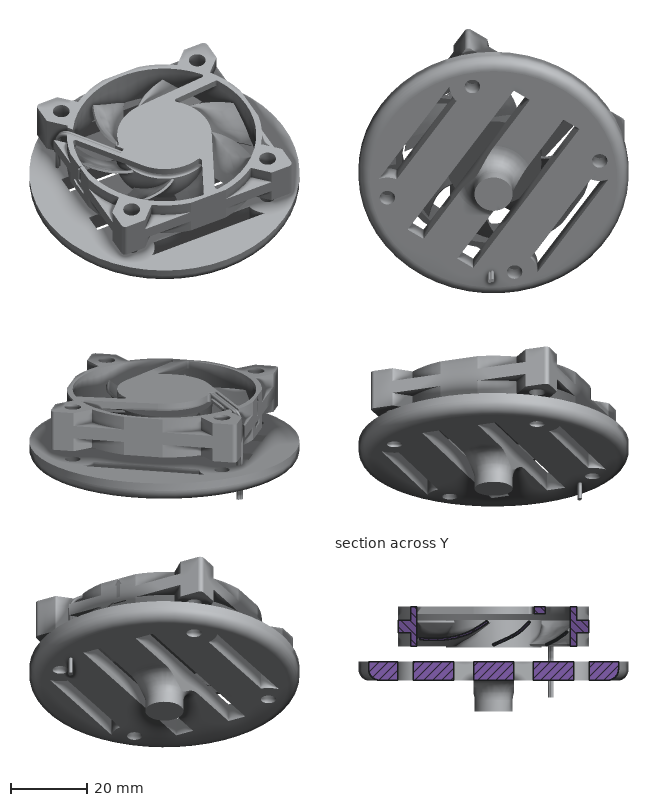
import cadquery as cq
import math


plate_diameter = 70.7
plate_thickness = 5.0
plate_rim_fillet = 3.0
peg_diameter = 10.0
peg_length = 8.0
peg_fillet = 5.0
plate_hole_diameter = 4.0
middle_rib_half_width = 5.3
inner_slot_outer_x = 10.3
outer_slot_inner_x = 21.1
hole_boss_radius = 6.0

frame_side = 50.0
frame_height = 10.5
frame_gap = 3.9
frame_corner_fillet = 1.1
frame_hole_diameter = 4.4
hole_pitch = 40.0
bore_diameter = 48.0
ring_outer_diameter = 51.05
corner_post_width = 9.0
flange_recess = 3.55
hub_diameter = 24.75
strut_thickness = 2.0
strut_width = 3.0
strut_angle = -25.0
opening_fillet = 0.65
strut_count = 3
arrow_length = 5.65
arrow_head_length = 1.9
arrow_head_width = 2.05
arrow_shaft_width = 1.2
arrow_depth = 0.5
up_arrow_tail_drop = 5.5
side_arrow_tail_x = 2.3
side_arrow_drop = 7.6
wire_notch_width = 2.75

rotor_diameter = 25.0
rotor_drop = 0.2
rotor_top_clearance = 1.5
blade_count = 7
blade_tip_diameter = 46.95
blade_angle = 45.0
blade_root_diameter = 24.05
blade_lead_z = 10.75
blade_knee_z = 5.95
blade_trail_z = 4.5
blade_sag = 0.65
blade_shift = 0.4
blade_drop = 0.5

wire_diameter = 1.0
wire_spacing = 0.7
wire_centre_offset = 10.75
wire_start = 7.1
wire_drop_start = 25.8
wire_bend_radius = 3.75
wire_end_z = -9.4
groove_depth = 1.2
groove_fillet = 0.5

frame_top = frame_gap + frame_height
half_side = frame_side / 2
hub_radius = hub_diameter / 2
bore_radius = bore_diameter / 2
strut_inner_offset = hub_radius - strut_width
strut_step = 360 / strut_count
strut_angles = [strut_angle + i * strut_step for i in range(strut_count)]
wire_angle = strut_angles[2]
wire_z = frame_top - groove_depth + wire_diameter / 2


def cylinder(diameter, bottom, top):
    return cq.Workplane("XY").workplane(offset=bottom).circle(diameter / 2).extrude(top - bottom)


def block(x_min, x_max, y_min, y_max, bottom, top):
    size = (x_max - x_min, y_max - y_min, top - bottom)
    return cq.Workplane("XY").box(*size, centered=False).translate((x_min, y_min, bottom))


def corner_cylinders(diameter, bottom, top):
    points = cq.Workplane("XY").workplane(offset=bottom).rect(hole_pitch, hole_pitch, forConstruction=True)
    return points.vertices().circle(diameter / 2).extrude(top - bottom)


def polar(radius, angle):
    return (radius * math.cos(math.radians(angle)), radius * math.sin(math.radians(angle)))


def make_wire(side):
    """One of the twin leads along a strut, bending down; it lies flat against the lead on the other side."""
    radius = wire_diameter / 2
    half_seam = math.sqrt(radius**2 - (wire_spacing / 2) ** 2)
    bend_start = wire_drop_start - wire_bend_radius
    bend_mid = wire_bend_radius * math.sin(math.radians(45))
    bend_mid_drop = wire_bend_radius - bend_mid
    path = (
        cq.Workplane("XZ", origin=(0, wire_centre_offset, 0))
        .moveTo(wire_start, wire_z)
        .lineTo(bend_start, wire_z)
        .threePointArc(
            (bend_start + bend_mid, wire_z - bend_mid_drop),
            (wire_drop_start, wire_z - wire_bend_radius),
        )
        .lineTo(wire_drop_start, wire_end_z)
    )
    section = (
        cq.Workplane("YZ", origin=(wire_start, wire_centre_offset, wire_z))
        .moveTo(0, half_seam)
        .threePointArc((side * (wire_spacing / 2 + radius), 0), (0, -half_seam))
        .close()
    )
    return section.sweep(path).rotate((0, 0, 0), (0, 0, 1), wire_angle)


def make_slots():
    """Air slots along Y, kept inside the frame square and clear of the corner bosses."""
    slots = cq.Workplane("XY")
    bottom = -plate_thickness - peg_length
    slot_sizes = [
        (middle_rib_half_width, inner_slot_outer_x, half_side),
        (outer_slot_inner_x, half_side, hole_pitch / 2),
    ]
    for x_min, x_max, y_end in slot_sizes:
        slots = slots.union(block(x_min, x_max, -y_end, y_end, bottom, 0))
        slots = slots.union(block(-x_max, -x_min, -y_end, y_end, bottom, 0))
    return slots.cut(corner_cylinders(2 * hole_boss_radius, bottom, 0))


def make_plate_blank():
    """Disc with a rounded lower rim and a peg that flares into its underside, turned about Z."""
    diagonal = math.sqrt(0.5)
    rim = plate_diameter / 2
    rim_centre = (rim - plate_rim_fillet, plate_rim_fillet - plate_thickness)
    peg = peg_diameter / 2
    neck_centre = (peg + peg_fillet, -plate_thickness - peg_fillet)
    peg_bottom = -plate_thickness - peg_length
    profile = (
        cq.Workplane("XZ")
        .lineTo(rim, 0)
        .lineTo(rim, rim_centre[1])
        .threePointArc(
            (rim_centre[0] + plate_rim_fillet * diagonal, rim_centre[1] - plate_rim_fillet * diagonal),
            (rim_centre[0], -plate_thickness),
        )
        .lineTo(neck_centre[0], -plate_thickness)
        .threePointArc(
            (neck_centre[0] - peg_fillet * diagonal, neck_centre[1] + peg_fillet * diagonal),
            (peg, neck_centre[1]),
        )
        .lineTo(peg, peg_bottom)
        .lineTo(0, peg_bottom)
        .close()
    )
    return profile.revolve(360, (0, 0, 0), (0, 1, 0))


def make_plate(wires):
    plate = make_plate_blank()
    plate = plate.cut(make_slots())
    plate = plate.cut(corner_cylinders(plate_hole_diameter, -plate_thickness, 0))
    for wire in wires:
        plate = plate.cut(wire)
    return plate


def strut_point(distance, offset, angle):
    """Point at a distance along the strut that lies at `angle`, and at an offset from the fan axis."""
    turn = math.radians(angle)
    x = distance * math.cos(turn) - offset * math.sin(turn)
    y = distance * math.sin(turn) + offset * math.cos(turn)
    return (x, y)


def reach(radius, offset):
    """Distance along a strut at which a line at `offset` meets the circle of `radius`."""
    return math.sqrt(radius**2 - offset**2)


def round_corner(body, point):
    """Round the upright edge at `point` of the strut layer."""
    middle = (*point, frame_top - strut_thickness / 2)
    return body.edges("|Z").edges(cq.selectors.NearestToPointSelector(middle)).fillet(opening_fillet)


def make_spider():
    """Hub cover and its struts; each strut has one side tangent to the hub and ends within the ring."""
    strut_end = (bore_radius + ring_outer_diameter / 2) / 2
    root_distance = reach(hub_radius, strut_inner_offset)
    root_angle = math.degrees(math.atan2(strut_inner_offset, root_distance))
    arc_middle_angle = (90 + root_angle + strut_step) / 2
    spider = cq.Workplane("XY").workplane(offset=frame_top - strut_thickness)
    spider = spider.moveTo(*strut_point(root_distance, strut_inner_offset, strut_angles[0]))
    for angle in strut_angles:
        spider = (
            spider.lineTo(*strut_point(reach(strut_end, strut_inner_offset), strut_inner_offset, angle))
            .lineTo(*strut_point(reach(strut_end, hub_radius), hub_radius, angle))
            .lineTo(*strut_point(0, hub_radius, angle))
            .threePointArc(
                polar(hub_radius, angle + arc_middle_angle),
                strut_point(root_distance, strut_inner_offset, angle + strut_step),
            )
        )
    spider = spider.close().extrude(strut_thickness)
    for angle in strut_angles:
        spider = round_corner(spider, strut_point(root_distance, strut_inner_offset, angle))
    return spider


def make_arrow():
    """Direction mark pointing along +X from its tail at the origin, cut into the -Y face."""
    neck = arrow_length - arrow_head_length
    arrow = (
        cq.Workplane("XZ", origin=(0, -half_side, 0))
        .moveTo(0, -arrow_shaft_width / 2)
        .lineTo(neck, -arrow_shaft_width / 2)
        .lineTo(neck, -arrow_head_width / 2)
        .lineTo(arrow_length, 0)
        .lineTo(neck, arrow_head_width / 2)
        .lineTo(neck, arrow_shaft_width / 2)
        .lineTo(0, arrow_shaft_width / 2)
        .close()
        .extrude(-arrow_depth)
    )
    return arrow


def turn_arrow(angle, x, drop):
    return make_arrow().rotate((0, 0, 0), (0, 1, 0), -angle).translate((x, 0, frame_top - drop))


def make_wire_notch():
    """Cut in the flange beside the -X -Y corner post, where the wires pass."""
    post_side = corner_post_width / 2
    notch = block(0, frame_side, post_side, post_side + wire_notch_width, frame_gap, frame_top)
    return notch.rotate((0, 0, 0), (0, 0, 1), 225)


def make_groove():
    """Step along one side of a strut and across the ring, in which the wires lie."""
    groove = block(
        wire_start,
        wire_drop_start,
        strut_inner_offset,
        wire_centre_offset + (wire_spacing + wire_diameter) / 2,
        frame_top - groove_depth,
        frame_top,
    )
    groove = groove.edges("|Z").edges("<X").edges(">Y").fillet(groove_fillet)
    return groove.rotate((0, 0, 0), (0, 0, 1), wire_angle)


def make_frame(wires):
    envelope = block(-half_side, half_side, -half_side, half_side, frame_gap, frame_top)
    envelope = envelope.edges("|Z").fillet(frame_corner_fillet)

    frame = block(
        -half_side, half_side, -half_side, half_side, frame_gap + flange_recess, frame_top - flange_recess
    )
    frame = frame.cut(make_wire_notch())
    frame = frame.union(cylinder(ring_outer_diameter, frame_gap, frame_top))
    post_half = corner_post_width / 2
    for angle in (45, 135):
        posts = block(-frame_side, frame_side, -post_half, post_half, frame_gap, frame_top)
        frame = frame.union(posts.rotate((0, 0, 0), (0, 0, 1), angle))
    frame = frame.intersect(envelope)

    frame = frame.cut(cylinder(bore_diameter, frame_gap, frame_top))
    frame = frame.union(make_spider())
    for angle in strut_angles:
        for offset in (strut_inner_offset, hub_radius):
            frame = round_corner(frame, strut_point(reach(bore_radius, offset), offset, angle))
    frame = frame.cut(corner_cylinders(frame_hole_diameter, frame_gap, frame_top))

    frame = frame.cut(make_groove())
    for wire in wires:
        frame = frame.cut(wire)
    frame = frame.cut(turn_arrow(90, 0, up_arrow_tail_drop))
    frame = frame.cut(turn_arrow(180, side_arrow_tail_x, side_arrow_drop))
    return frame


blade_stations = [
    (8.5, 7.85, -0.9, -3.75),
    (16.25, 7.1, 0.8, -2.6),
    (24.05, 1.8, -6.8, -11.2),
]


def blade_section(lead, knee, trail):
    """Upper and lower lines, curved from the leading edge to the knee and straight to the trailing edge."""
    middle = ((lead + knee) / 2, (blade_lead_z + blade_knee_z) / 2 - blade_sag)
    upper = [(lead, blade_lead_z), middle, (knee, blade_knee_z), (trail, blade_trail_z)]
    lower = [(y + blade_shift, z - blade_drop) for y, z in upper]
    return upper, lower


def make_blade():
    sheet = cq.Workplane("YZ")
    position = 0
    for distance, lead, knee, trail in blade_stations:
        upper, lower = blade_section(lead, knee, trail)
        sheet = (
            sheet.workplane(offset=distance - position)
            .moveTo(*upper[0])
            .threePointArc(upper[1], upper[2])
            .lineTo(*upper[3])
            .lineTo(*lower[3])
            .lineTo(*lower[2])
            .threePointArc(lower[1], lower[0])
            .close()
        )
        position = distance
    sheet = sheet.loft(combine=True)
    room = cylinder(blade_tip_diameter, 0, frame_top).cut(cylinder(blade_root_diameter, 0, frame_top))
    return sheet.intersect(room)


def make_rotor():
    rotor_top = frame_top - strut_thickness - rotor_top_clearance
    rotor = cylinder(rotor_diameter, frame_gap - rotor_drop, rotor_top)
    blade = make_blade()
    for i in range(blade_count):
        rotor = rotor.union(blade.rotate((0, 0, 0), (0, 0, 1), blade_angle + i * 360 / blade_count))
    return rotor


wires = [make_wire(side) for side in (-1, 1)]
plate = make_plate(wires)
frame = make_frame(wires)
rotor = make_rotor()
result = cq.Compound.makeCompound([plate.val(), frame.val(), rotor.val(), *[wire.val() for wire in wires]])